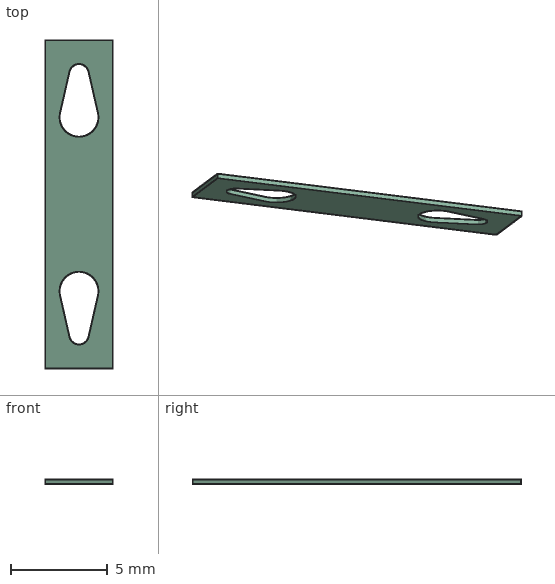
import cadquery as cq
import math

plate_width = 3.5
plate_length = 17.0
plate_thickness = 0.25

wide_radius = 1.0
narrow_radius = 0.5
wide_center_y = 4.5
narrow_center_y = 6.75


def make_plate():
    return cq.Workplane("XY").box(
        plate_width, plate_length, plate_thickness, centered=(True, True, False)
    )


def make_teardrop(side):
    """Cutter for one opening; side is +1 for the +Y end and -1 for the -Y end."""
    center_distance = narrow_center_y - wide_center_y
    flank_angle = math.asin((wide_radius - narrow_radius) / center_distance)
    wide_x = wide_radius * math.cos(flank_angle)
    wide_y = wide_center_y + wide_radius * math.sin(flank_angle)
    narrow_x = narrow_radius * math.cos(flank_angle)
    narrow_y = narrow_center_y + narrow_radius * math.sin(flank_angle)
    inner_tip_y = wide_center_y - wide_radius
    outer_tip_y = narrow_center_y + narrow_radius

    return (
        cq.Workplane("XY")
        .moveTo(-wide_x, side * wide_y)
        .threePointArc((0, side * inner_tip_y), (wide_x, side * wide_y))
        .lineTo(narrow_x, side * narrow_y)
        .threePointArc((0, side * outer_tip_y), (-narrow_x, side * narrow_y))
        .close()
        .extrude(plate_thickness)
    )


result = make_plate()
for end_side in (1, -1):
    result = result.cut(make_teardrop(end_side))